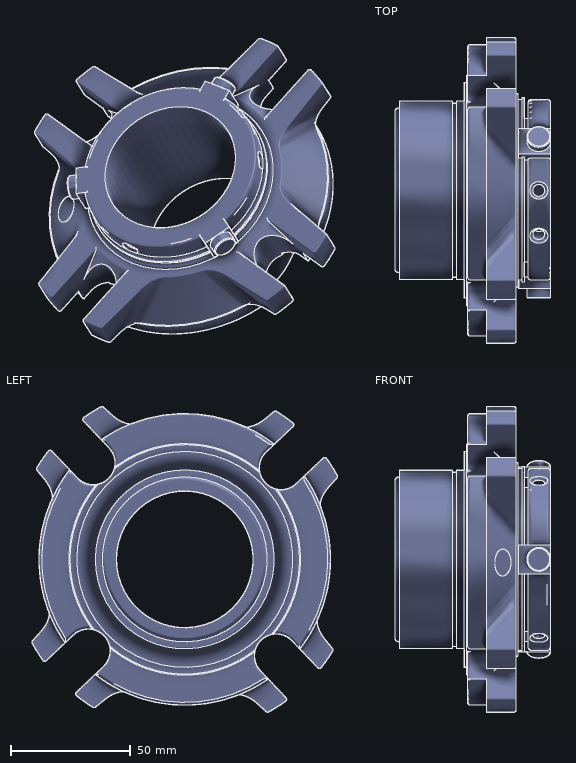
import cadquery as cq
import math


nose_step_x = 1.9
groove_start_x = 24.2
groove_end_x = 25.8
pilot_face_x = 29.1
disc_face_x = 30.0
flange_face_x = 30.45
gland_face_x = 38.4
gland_back_x = 50.8
lip_back_x = 51.7
spigot_back_x = 53.3
snap_ring_back_x = 54.3
collar_face_x = 55.8
overall_length = 65.35

bore_dia = 57.15
sleeve_dia = 60.3
nose_tip_dia = 69.09
nose_tip_round = 1.6
body_dia = 74.93
body_edge_round = 0.4
groove_dia = 73.13
pilot_dia = 90.47
disc_dia = 97.1
disc_chamfer = 0.45
flange_dia = 122.3
flange_edge_round = 1.2
lip_dia = 81.4
lip_round = 0.6
collar_dia = 76.3
collar_edge_round = 1.5
snap_ring_dia = 77.83

slot_count = 4
slot_pitch = 360 / slot_count
first_slot_angle = 46.5
slot_radius = 9.1
slot_bottom_radius = 46.6
slot_center_radius = slot_bottom_radius + slot_radius
ear_tip_offset = 19.0
ear_flank_angle = 4.0
ear_tip_radius = 73.0
ear_bar_end = ear_tip_radius + 15
ear_tip_round = 1.0
ear_root_fillet = 5.5
gland_back_round = 0.8
cone_front_radius = 60.7
cone_back_radius = 44.4
cone_slope = (cone_back_radius - cone_front_radius) / (gland_back_x - gland_face_x)

plug_dia = 11.25
plug_angle = first_slot_angle + 1.5 * slot_pitch
plug_x = 45.3
plug_depth = 4.0

clip_angles = (60, 180, 300)
clip_front_x = 51.9
clip_width = 12.2
clip_inner_radius = 36.2
clip_outer_radius = 41.2
cap_dia = 10.0
cap_height = 4.0
cap_chamfer = 0.4
screw_x = overall_length - cap_dia / 2
screw_hole_angles = (0, 90, 120, 240)
screw_hole_dia = 5.0
countersink_dia = 7.6

overrun = 4.0


def cylinder(start_x, end_x, diameter):
    """Solid cylinder on the X axis between two stations."""
    return cq.Workplane("YZ", origin=(start_x, 0, 0)).circle(diameter / 2).extrude(end_x - start_x)


def about_axis(body, angle):
    """Turn a body about X; angle 0 points to +Y and 90 to +Z."""
    return body.rotate((0, 0, 0), (1, 0, 0), angle)


def slot_angles():
    return [first_slot_angle + index * slot_pitch for index in range(slot_count)]


def cone_radius(x):
    return cone_front_radius + cone_slope * (x - gland_face_x)


def box_between(start, end):
    """Axis-aligned box between two opposite corners."""
    size = [high - low for low, high in zip(start, end)]
    return cq.Workplane("XY").box(*size, centered=False).translate(start)


def make_nose():
    tip = cylinder(0, nose_step_x, nose_tip_dia).faces("<X").edges().fillet(nose_tip_round)
    body = cylinder(nose_step_x, groove_start_x, body_dia).edges().fillet(body_edge_round)
    neck = cylinder(groove_start_x, groove_end_x, groove_dia)
    rear = cylinder(groove_end_x, pilot_face_x, body_dia)
    return tip.union(body).union(neck).union(rear)


def bolt_slot():
    """Open-ended U slot pointing to +Y, long enough to pass the whole part in X."""
    reach = ear_tip_radius + overrun
    round_end = cq.Workplane("YZ").center(slot_center_radius, 0).circle(slot_radius).extrude(overall_length)
    open_end = box_between((0, slot_center_radius, -slot_radius), (overall_length, reach, slot_radius))
    return round_end.union(open_end)


def cut_bolt_slots(body):
    for angle in slot_angles():
        body = body.cut(about_axis(bolt_slot(), angle))
    return body


def make_flange():
    ring = cut_bolt_slots(cylinder(flange_face_x, gland_face_x, flange_dia))
    ring = ring.faces("<X").edges().fillet(flange_edge_round)
    disc = cylinder(disc_face_x, gland_face_x, disc_dia).faces("<X").edges().chamfer(disc_chamfer)
    pilot = cylinder(pilot_face_x, gland_face_x, pilot_dia)
    return ring.union(cut_bolt_slots(disc)).union(pilot)


def make_ear(side):
    """Untrimmed bar along +Y beside the slot line, its outer flank flaring towards the root."""
    root_y = sleeve_dia / 2
    flare = math.tan(math.radians(ear_flank_angle))
    outline = [
        (root_y, side * slot_radius),
        (ear_bar_end, side * slot_radius),
        (ear_bar_end, side * (ear_tip_offset - flare * (ear_bar_end - ear_tip_radius))),
        (root_y, side * (ear_tip_offset + flare * (ear_tip_radius - root_y))),
    ]
    start_x = gland_face_x - overrun
    end_x = gland_back_x + overrun
    return cq.Workplane("YZ", origin=(start_x, 0, 0)).polyline(outline).close().extrude(end_x - start_x)


def make_cone():
    start_x = gland_face_x - overrun
    end_x = gland_back_x + overrun
    profile = [(start_x, 0), (start_x, cone_radius(start_x)), (end_x, cone_radius(end_x)), (end_x, 0)]
    return cq.Workplane("XY").polyline(profile).close().revolve(360, (0, 0, 0), (1, 0, 0))


def is_ear_root(edge):
    """True for the cone edges on the outer flanks of the ears."""
    if edge.geomType() != "HYPERBOLA":
        return False
    center = edge.Center()
    from_slot = (math.degrees(math.atan2(center.z, center.y)) - first_slot_angle) % slot_pitch
    radius = math.hypot(center.y, center.z)
    offset = radius * math.sin(math.radians(min(from_slot, slot_pitch - from_slot)))
    return offset > (slot_radius + ear_tip_offset) / 2


def make_gland():
    """Tapered plate with a filleted pair of ears beside every bolt slot."""
    gland = make_cone()
    for angle in slot_angles():
        for side in (1, -1):
            gland = gland.union(about_axis(make_ear(side), angle))
    gland = gland.edges().filter(is_ear_root).fillet(ear_root_fillet)
    gland = gland.intersect(cylinder(gland_face_x, gland_back_x, 2 * ear_tip_radius))
    gland = gland.edges("|X").fillet(ear_tip_round)
    gland = gland.faces(">X").edges().fillet(gland_back_round)
    return cut_bolt_slots(gland)


def make_plug():
    """Flush plug whose axis stands square to the gland taper, built over +Y."""
    slope_angle = math.atan(cone_slope)
    outward = cq.Vector(-math.sin(slope_angle), math.cos(slope_angle), 0)
    surface = cq.Vector(plug_x, cone_radius(plug_x), 0)
    seat = cq.Plane(origin=(surface - outward * plug_depth).toTuple(), xDir=(0, 0, 1), normal=outward.toTuple())
    plug = cq.Workplane(seat).circle(plug_dia / 2).extrude(plug_depth)
    return about_axis(plug, plug_angle)


def make_drive_end():
    """Lip, spigot, snap ring, sleeve and drive collar behind the gland."""
    lip = cylinder(gland_back_x, lip_back_x, lip_dia).faces(">X").edges().fillet(lip_round)
    spigot = cylinder(gland_back_x, spigot_back_x, collar_dia)
    snap_ring = cylinder(spigot_back_x, snap_ring_back_x, snap_ring_dia)
    sleeve = cylinder(gland_back_x, overall_length, sleeve_dia)
    collar = cylinder(collar_face_x, overall_length, collar_dia).edges().fillet(collar_edge_round)
    for angle in screw_hole_angles:
        collar = collar.cut(about_axis(screw_hole(), angle))
    return lip.union(spigot).union(snap_ring).union(sleeve).union(collar)


def screw_hole():
    """Countersunk radial hole over +Y, reaching down to the sleeve."""
    outer = collar_dia / 2
    sink_depth = (countersink_dia - screw_hole_dia) / 2
    profile = [
        (screw_x, sleeve_dia / 2),
        (screw_x + screw_hole_dia / 2, sleeve_dia / 2),
        (screw_x + screw_hole_dia / 2, outer - sink_depth),
        (screw_x + countersink_dia / 2, outer),
        (screw_x + countersink_dia / 2, outer + overrun),
        (screw_x, outer + overrun),
    ]
    return cq.Workplane("XY").polyline(profile).close().revolve(360, (screw_x, 0, 0), (screw_x, 1, 0))


def make_clip():
    """Clip plate over +Y with its cap screw head on top."""
    half = clip_width / 2
    plate = box_between(
        (clip_front_x, clip_inner_radius, -half), (overall_length, clip_outer_radius, half)
    )
    head = (
        cq.Workplane("XZ", origin=(screw_x, clip_outer_radius, 0))
        .circle(cap_dia / 2)
        .extrude(-cap_height)
        .faces(">Y")
        .edges()
        .chamfer(cap_chamfer)
    )
    return plate.union(head)


body = make_nose().union(make_flange()).union(make_gland()).union(make_plug()).union(make_drive_end())
for angle in clip_angles:
    body = body.union(about_axis(make_clip(), angle))
result = body.cut(cylinder(0, overall_length, bore_dia))